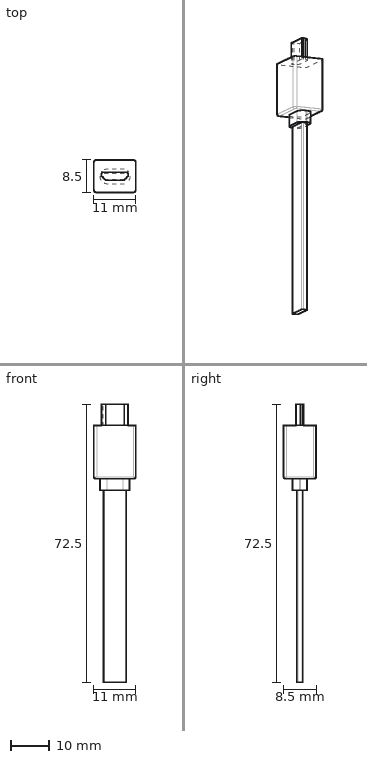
import cadquery as cq

body_width = 11.0
body_depth = 8.5
body_height = 13.9
body_side_radius = 0.75
body_bottom_radius = 0.5

plug_width = 6.95
plug_back_chamfer_width = 0.27
plug_back_chamfer_depth = 0.4
plug_depth = 2.0
plug_height = 5.55
plug_slant_width = 1.05
plug_slant_depth = 1.05

collar_width = 7.75
collar_depth = 3.85
collar_height = 3.0
collar_radius = 1.8

cable_width = 6.0
cable_depth = 1.6
cable_length = 50.0
cable_radius = 0.3


def make_body():
    """Block with rounded upright edges and a rounded bottom rim."""
    block = cq.Workplane("XY").rect(body_width, body_depth).extrude(body_height)
    block = block.edges("|Z").fillet(body_side_radius)
    return block.faces("<Z").edges().fillet(body_bottom_radius)


def make_plug():
    """Plug shell with slanted front corners and smaller chamfers at the back."""
    half_width = plug_width / 2
    front = -plug_depth / 2
    back = plug_depth / 2
    outline = [
        (-half_width, back - plug_back_chamfer_depth),
        (-half_width + plug_back_chamfer_width, back),
        (half_width - plug_back_chamfer_width, back),
        (half_width, back - plug_back_chamfer_depth),
        (half_width, front + plug_slant_depth),
        (half_width - plug_slant_width, front),
        (-half_width + plug_slant_width, front),
        (-half_width, front + plug_slant_depth),
    ]
    base = cq.Workplane("XY", origin=(0, 0, body_height))
    return base.polyline(outline).close().extrude(plug_height)


def make_rounded_bar(width, depth, radius, top, length):
    """Rectangular bar with rounded upright edges, reaching down from the height top."""
    bar = cq.Workplane("XY", origin=(0, 0, top)).rect(width, depth).extrude(-length)
    return bar.edges("|Z").fillet(radius)


collar = make_rounded_bar(collar_width, collar_depth, collar_radius, 0, collar_height)
cable = make_rounded_bar(cable_width, cable_depth, cable_radius, -collar_height, cable_length)

result = make_body().union(make_plug()).union(collar).union(cable)